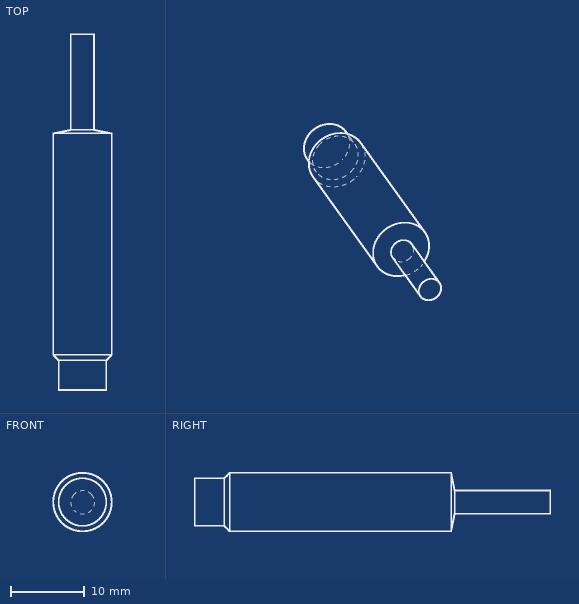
import cadquery as cq

total_length = 48.55
body_radius = 8.0 / 2
nose_radius = 6.5 / 2
cable_radius = 3.2 / 2

nose_length = 4.05
front_chamfer = body_radius - nose_radius
body_length = 31.45
rear_taper_length = 0.5

nose_face = -total_length / 2
cable_end = total_length / 2
shoulder = nose_face + nose_length
cable_root = shoulder + body_length

half_profile = [
    (0, nose_face),
    (nose_radius, nose_face),
    (nose_radius, shoulder),
    (body_radius, shoulder + front_chamfer),
    (body_radius, cable_root - rear_taper_length),
    (cable_radius, cable_root),
    (cable_radius, cable_end),
    (0, cable_end),
]

result = cq.Workplane("XY").polyline(half_profile).close().revolve(360, (0, 0, 0), (0, 1, 0))